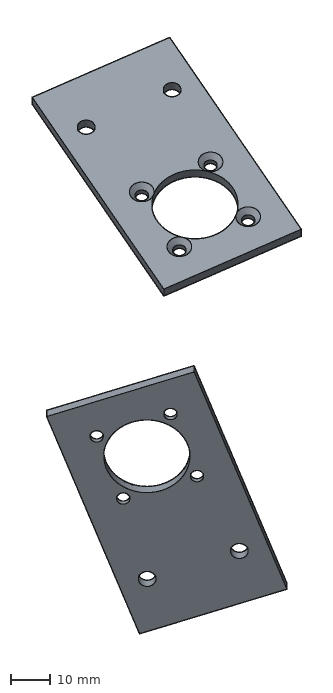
import cadquery as cq

length = 70.0
width = 40.0
thickness = 3.0

bore_diameter = 22.0
bore_from_left = 50.0
screw_spacing = 20.0
screw_diameter = 3.4
countersink_diameter = 6.3
countersink_angle = 90.0

mount_diameter = 4.5
mount_from_left = 15.0
mount_spacing = 25.0

bore_x = bore_from_left - length / 2
mount_x = mount_from_left - length / 2


def top_face_at(body, x):
    """Workplane on the top face, centred on the plate's long axis at x."""
    return body.faces(">Z").workplane(origin=(x, 0, thickness))


def make_plate():
    return cq.Workplane("XY").box(length, width, thickness, centered=(True, True, False))


def cut_mounting_holes(body):
    points = [(0, -mount_spacing / 2), (0, mount_spacing / 2)]
    return top_face_at(body, mount_x).pushPoints(points).hole(mount_diameter)


def cut_screw_holes(body):
    return (
        top_face_at(body, bore_x)
        .rarray(screw_spacing, screw_spacing, 2, 2)
        .cskHole(screw_diameter, countersink_diameter, countersink_angle)
    )


def cut_bore(body):
    return top_face_at(body, bore_x).hole(bore_diameter)


result = make_plate()
result = cut_mounting_holes(result)
result = cut_screw_holes(result)
result = cut_bore(result)